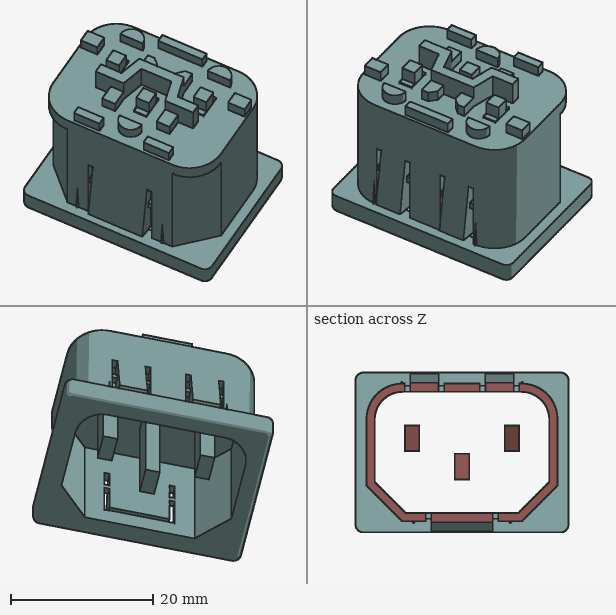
import cadquery as cq

FLANGE_X = 30.0
FLANGE_Y = 22.5
FLANGE_HEIGHT = 3.2
FLANGE_CORNER_RADIUS = 1.15
FLANGE_EDGE_RADIUS = 0.8

SHELL_X = 26.9
SHELL_Y = 19.4
SHELL_TOP = 21.3
SHELL_CORNER = 5.05
LID_THICKNESS = 2.0
LID_BOTTOM = SHELL_TOP - LID_THICKNESS
WALL = 1.2
WALL_FACE = SHELL_Y / 2
CAVITY_FACE = WALL_FACE - WALL

WINDOW_TOP = 13.35
SLIT_WIDTH = 0.75
SNAP_TIP_Z = 4.43
SNAP_TIP_Y = 11.05
FRONT_SNAP_WIDTH = 8.65
BACK_SNAP_WIDTH = 4.0
BACK_SNAP_X = 5.28
BRIDGE_BOTTOM = 9.2
BRIDGE_TOP = 10.15
BRIDGE_RECESS = 0.35

RIB_WIDTH = 0.45
RIB_DEPTH = 0.22
RIB_HEIGHT = 4.0
FRONT_RIB_X = 6.8
BACK_RIB_X = 8.45

BOSS_HEIGHT = 1.6
BARRIER_HEIGHT = 3.5
BAR_INNER_Y = 8.0
BAR_WIDTH = 1.22
BACK_BAR_LENGTH = 7.1
FRONT_BAR_X = 5.57
FRONT_BAR_LENGTH = 4.07
SIDE_BLOCK_X = 11.8
SIDE_BLOCK_Y = 3.85
SIDE_BLOCK_SIZE = (2.65, 2.0)
HALF_DISC_RADIUS = 1.78
HALF_DISC_Y = 6.52

BARRIER_REACH_Y = 2.5
BARRIER_THICKNESS = 1.5
BARRIER_WING_X = 7.8
BARRIER_TOP_X = 3.55
BARRIER_TOP_INNER_X = 2.4
BARRIER_FOOT_X = 4.5
BARRIER_FOOT_INNER_X = 3.32
LUG_WIDTH = 2.08
LUG_LENGTH = 2.5
LUG_CHAMFER = 1.0

CONTACT_PITCH_X = 7.0
CONTACT_OFFSET_Y = 2.0
BLADE_WIDTH = 2.05
BLADE_LENGTH = 3.65
SHOULDER_HEIGHT = 0.2
BLADE_TOP = SHELL_TOP + SHOULDER_HEIGHT
BLADE_BOTTOM = 2.0
TERMINAL_LENGTH = 2.05
TERMINAL_HEIGHT = 2.2
TERMINAL_TOP = SHELL_TOP + TERMINAL_HEIGHT
CONTACT_PLACES = [
    (-CONTACT_PITCH_X, CONTACT_OFFSET_Y),
    (CONTACT_PITCH_X, CONTACT_OFFSET_Y),
    (0, -CONTACT_OFFSET_Y),
]


def block(x_size, y_size, z_bottom, z_top, x=0.0, y=0.0):
    """Upright block centred on (x, y)."""
    base = cq.Workplane("XY", origin=(x, y, z_bottom))
    return base.rect(x_size, y_size).extrude(z_top - z_bottom)


def mirrored_in_x(shape):
    """The shape together with its mirror image in the YZ plane."""
    return shape.union(shape.mirror("YZ"))


def shell_outline(z):
    """Shell outline: round corners at the back, flat corners at the front."""
    half_x = SHELL_X / 2
    straight_x = half_x - SHELL_CORNER
    straight_y = WALL_FACE - SHELL_CORNER
    return (
        cq.Workplane("XY", origin=(0, 0, z))
        .moveTo(straight_x, -WALL_FACE)
        .lineTo(half_x, -straight_y)
        .lineTo(half_x, straight_y)
        .radiusArc((straight_x, WALL_FACE), -SHELL_CORNER)
        .lineTo(-straight_x, WALL_FACE)
        .radiusArc((-half_x, straight_y), -SHELL_CORNER)
        .lineTo(-half_x, -straight_y)
        .lineTo(-straight_x, -WALL_FACE)
        .close()
    )


def flange():
    plate = block(FLANGE_X, FLANGE_Y, 0, FLANGE_HEIGHT)
    plate = plate.edges("|Z").fillet(FLANGE_CORNER_RADIUS)
    return plate.faces("<Z").edges().fillet(FLANGE_EDGE_RADIUS)


def shell():
    """Outer shell under a lid that is round at all four corners."""
    body = shell_outline(FLANGE_HEIGHT).extrude(LID_BOTTOM - FLANGE_HEIGHT)
    lid = block(SHELL_X, SHELL_Y, LID_BOTTOM, SHELL_TOP)
    return body.union(lid.edges("|Z").fillet(SHELL_CORNER))


def cavity():
    """Socket space, open at the flange and closed by the lid."""
    return shell_outline(0).offset2D(-WALL).extrude(LID_BOTTOM)


def window(x, snap_width, side):
    """Wall opening around a snap tongue; side is -1 for the front wall, +1 for the back."""
    width = snap_width + 2 * SLIT_WIDTH
    mid_wall = side * (WALL_FACE + CAVITY_FACE) / 2
    return block(width, WALL, FLANGE_HEIGHT, WINDOW_TOP, x, mid_wall)


def snap(x, snap_width, side):
    """Tongue hanging from the window top, flaring outward, with bridges across its slits."""
    slope = (SNAP_TIP_Y - WALL_FACE) / (WINDOW_TOP - SNAP_TIP_Z)
    inner_z = SNAP_TIP_Z - slope * (SNAP_TIP_Y - CAVITY_FACE)
    tongue = (
        cq.Workplane("YZ", origin=(x, 0, 0))
        .polyline([
            (side * CAVITY_FACE, WINDOW_TOP),
            (side * WALL_FACE, WINDOW_TOP),
            (side * SNAP_TIP_Y, SNAP_TIP_Z),
            (side * CAVITY_FACE, inner_z),
        ])
        .close()
        .extrude(snap_width / 2, both=True)
    )
    bridge_depth = WALL - BRIDGE_RECESS
    bridge_y = side * (CAVITY_FACE + bridge_depth / 2)
    bridge_width = snap_width + 2 * SLIT_WIDTH
    return tongue.union(block(bridge_width, bridge_depth, BRIDGE_BOTTOM, BRIDGE_TOP, x, bridge_y))


def crush_rib(x, side):
    """Three-sided spike that runs out into the wall at its upper end."""
    base = [
        cq.Vector(x - RIB_WIDTH / 2, side * WALL_FACE, FLANGE_HEIGHT),
        cq.Vector(x + RIB_WIDTH / 2, side * WALL_FACE, FLANGE_HEIGHT),
        cq.Vector(x, side * (WALL_FACE + RIB_DEPTH), FLANGE_HEIGHT),
    ]
    tip = cq.Vector(x, side * WALL_FACE, FLANGE_HEIGHT + RIB_HEIGHT)
    corner_sets = [base] + [[base[i], base[(i + 1) % 3], tip] for i in range(3)]
    faces = [cq.Face.makeFromWires(cq.Wire.makePolygon(corners, close=True)) for corners in corner_sets]
    return cq.Workplane(obj=cq.Solid.makeSolid(cq.Shell.makeShell(faces)))


def half_disc(x, side):
    """Half-round boss with its flat facing the middle of the lid."""
    flat_y = side * HALF_DISC_Y
    return (
        cq.Workplane("XY", origin=(0, 0, SHELL_TOP))
        .moveTo(x - HALF_DISC_RADIUS, flat_y)
        .threePointArc((x, flat_y + side * HALF_DISC_RADIUS), (x + HALF_DISC_RADIUS, flat_y))
        .close()
        .extrude(BOSS_HEIGHT)
    )


def lid_bosses():
    boss_top = SHELL_TOP + BOSS_HEIGHT
    bar_y = BAR_INNER_Y + BAR_WIDTH / 2
    back_bar = block(BACK_BAR_LENGTH, BAR_WIDTH, SHELL_TOP, boss_top, 0, bar_y)
    front_bar = block(FRONT_BAR_LENGTH, BAR_WIDTH, SHELL_TOP, boss_top, FRONT_BAR_X, -bar_y)
    side_block = block(*SIDE_BLOCK_SIZE, SHELL_TOP, boss_top, SIDE_BLOCK_X, SIDE_BLOCK_Y)
    bosses = [back_bar, mirrored_in_x(front_bar), mirrored_in_x(side_block)]
    bosses += [mirrored_in_x(half_disc(CONTACT_PITCH_X, 1)), half_disc(0, -1)]
    return bosses


def barrier():
    """Bent wall around the earth terminal, with a wing to each side."""
    right_half = [
        (0, BARRIER_REACH_Y),
        (BARRIER_TOP_X, BARRIER_REACH_Y),
        (BARRIER_FOOT_X, BARRIER_THICKNESS - BARRIER_REACH_Y),
        (BARRIER_WING_X, BARRIER_THICKNESS - BARRIER_REACH_Y),
        (BARRIER_WING_X, -BARRIER_REACH_Y),
        (BARRIER_FOOT_INNER_X, -BARRIER_REACH_Y),
        (BARRIER_TOP_INNER_X, BARRIER_REACH_Y - BARRIER_THICKNESS),
        (0, BARRIER_REACH_Y - BARRIER_THICKNESS),
    ]
    half = cq.Workplane("XY", origin=(0, 0, SHELL_TOP)).polyline(right_half).close()
    return mirrored_in_x(half.extrude(BARRIER_HEIGHT))


def barrier_lugs():
    """Low lugs against the barrier; the back pair has a chamfered inner corner."""
    lug_top = SHELL_TOP + BOSS_HEIGHT
    lug_y = BARRIER_REACH_Y + LUG_LENGTH / 2
    back_x = BARRIER_TOP_X - LUG_WIDTH / 2
    front_x = BARRIER_FOOT_INNER_X + LUG_WIDTH / 2
    back_lug = block(LUG_WIDTH, LUG_LENGTH, SHELL_TOP, lug_top, back_x, lug_y)
    back_lug = back_lug.edges("|Z and <X and >Y").chamfer(LUG_CHAMFER)
    front_lug = block(LUG_WIDTH, LUG_LENGTH, SHELL_TOP, lug_top, front_x, -lug_y)
    return mirrored_in_x(back_lug.union(front_lug))


def contact(x, y):
    blade = block(BLADE_WIDTH, BLADE_LENGTH, BLADE_BOTTOM, BLADE_TOP, x, y)
    return blade.union(block(BLADE_WIDTH, TERMINAL_LENGTH, BLADE_TOP, TERMINAL_TOP, x, y))


def housing():
    body = flange().union(shell()).cut(cavity())
    snaps = [
        (0, FRONT_SNAP_WIDTH, -1),
        (-BACK_SNAP_X, BACK_SNAP_WIDTH, 1),
        (BACK_SNAP_X, BACK_SNAP_WIDTH, 1),
    ]
    for place in snaps:
        body = body.cut(window(*place)).union(snap(*place))
    for x, side in [(FRONT_RIB_X, -1), (BACK_RIB_X, 1)]:
        body = body.union(mirrored_in_x(crush_rib(x, side)))
    for boss in lid_bosses() + [barrier(), barrier_lugs()]:
        body = body.union(boss)
    for x, y in CONTACT_PLACES:
        body = body.cut(block(BLADE_WIDTH, BLADE_LENGTH, LID_BOTTOM, SHELL_TOP, x, y))
    return body


inlet_housing = housing()
contacts = [contact(x, y) for x, y in CONTACT_PLACES]

result = cq.Compound.makeCompound([inlet_housing.val(), *[pin.val() for pin in contacts]])